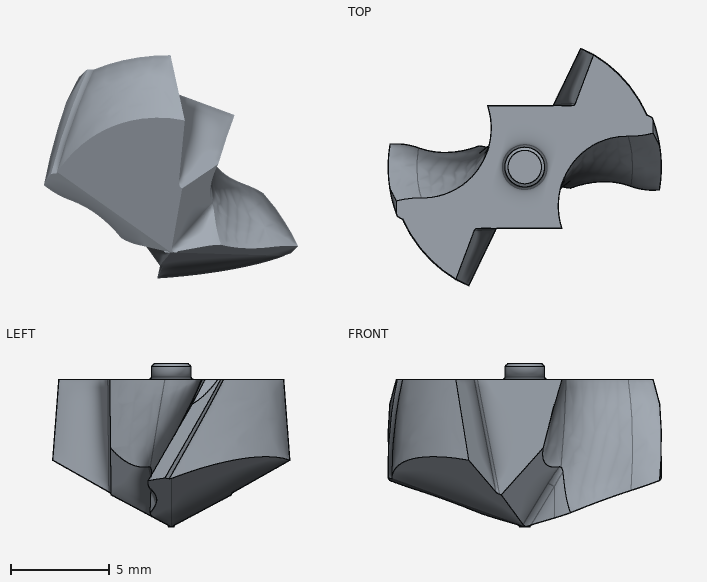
import cadquery as cq
import math


margin_radius = 6.95
body_height = 7.5
reach = 20.0

helix_angle = 30.0
twist_per_mm = math.degrees(math.tan(math.radians(helix_angle)) / margin_radius)
twist_height = 8.0

margin_lead_angle = 14.8
margin_trail_angle = 21.2
land_start_angle = 23.2
land_start_radius = 6.757
land_mid_angle = 58.3
land_mid_radius = 6.71
land_end_angle = 100.0
land_end_radius = 6.65
flute_center = (5.2, -1.9)
flute_radius = 3.47
flute_lip_angle = 89.0
flute_mid_angle = 120.0
flute_web_angle = 153.0
web_curve_radius = 3.65
web_curve_mid_angle = 180.0
web_curve_end_angle = 206.0

pocket_wall_y = 3.12
pocket_wall_slope = 0.010
heel_corner_x = 2.53
heel_slope_y = 0.375
heel_slope_z = 0.189
pocket_fillet = 0.17

margin_flat_x = 6.53
margin_flat_angle = 15.0

point_slope = math.tan(math.radians(20.0))
primary_relief = math.tan(math.radians(7.0))
secondary_relief = math.tan(math.radians(21.3))
gash_slope_x = 1.11
gash_slope_y = 0.9645

rake_angle = 29.0
rake_straight_x = 1.5
rake_curve_radius = 2.0
gash_start_x = -1.0
gash_end_x = 4.0
gash_fillet = 0.29

pin_radius = 1.01
pin_height = 0.82
pin_chamfer = 0.16
pin_base_fillet = 0.13


def polar(radius, angle, center=(0.0, 0.0)):
    a = math.radians(angle)
    return (center[0] + radius * math.cos(a), center[1] + radius * math.sin(a))


def turned(point, turn):
    """The point itself for turn = 1, or half a turn round the axis for turn = -1."""
    return (turn * point[0], turn * point[1])


def half_turn(shape):
    return shape.rotate((0, 0, 0), (0, 0, 1), 180)


def half_space(origin, normal):
    """Block filling the side of a plane that the normal points to."""
    plane = cq.Plane(origin=origin, normal=normal)
    return cq.Workplane(plane).rect(4 * reach, 4 * reach).extrude(2 * reach)


def twisted_body():
    margin_lead = polar(margin_radius, margin_lead_angle)
    margin_mid = polar(margin_radius, (margin_lead_angle + margin_trail_angle) / 2)
    margin_trail = polar(margin_radius, margin_trail_angle)
    land_start = polar(land_start_radius, land_start_angle)
    land_mid = polar(land_mid_radius, land_mid_angle)
    land_end = polar(land_end_radius, land_end_angle)
    flute_web = polar(flute_radius, flute_web_angle, flute_center)
    web_center = polar(flute_radius - web_curve_radius, flute_web_angle, flute_center)
    web_mid = polar(web_curve_radius, web_curve_mid_angle, web_center)
    web_end = polar(web_curve_radius, web_curve_end_angle, web_center)
    flute_mid = polar(flute_radius, flute_mid_angle, flute_center)
    flute_lip = polar(flute_radius, flute_lip_angle, flute_center)

    section = cq.Workplane("XY").moveTo(*margin_lead)
    for turn in (1, -1):
        section = (
            section.threePointArc(turned(margin_mid, turn), turned(margin_trail, turn))
            .lineTo(*turned(land_start, turn))
            .threePointArc(turned(land_mid, turn), turned(land_end, turn))
            .lineTo(*turned(web_end, -turn))
            .threePointArc(turned(web_mid, -turn), turned(flute_web, -turn))
            .threePointArc(turned(flute_mid, -turn), turned(flute_lip, -turn))
            .tangentArcPoint(turned(margin_lead, -turn), relative=False)
        )
    twist = twist_per_mm * twist_height
    body = section.close().twistExtrude(twist_height, twist)
    return body.rotate((0, 0, 0), (0, 0, 1), -twist).translate((0, 0, -twist_height))


def heel_pocket():
    heel_side = half_space((heel_corner_x, pocket_wall_y, 0), (-1, heel_slope_y, heel_slope_z))
    wall_side = half_space((0, pocket_wall_y, 0), (0, 1, -pocket_wall_slope))
    bounds = cq.Workplane("XY").box(2 * reach, 2 * reach, 2 * reach)
    pocket = bounds.intersect(heel_side).intersect(wall_side)
    search = reach / 2
    corner = cq.selectors.BoxSelector((-search, 0, -search), (search, search, search))
    return pocket.edges(corner).fillet(pocket_fillet)


def margin_flat():
    tilt = math.radians(margin_flat_angle)
    beyond = half_space((margin_flat_x, 0, 0), (math.cos(tilt), 0, math.sin(tilt)))
    near = cq.Workplane("XY").box(reach, margin_radius, reach)
    return beyond.intersect(near)


def below(slope_x, slope_y):
    """Space under a plane through the tip that rises by the given slopes."""
    return half_space((0, 0, -body_height), (slope_x, slope_y, -1))


def point_relief():
    """Material ground off under the -X blade, on its own side of the rake plane."""
    rake = math.radians(rake_angle)
    blade_side = half_space((0, 0, 0), (-math.sin(rake), -math.cos(rake), 0))
    tip_flat = below(0, 0)
    primary = below(-point_slope, -primary_relief)
    secondary = below(-point_slope, -secondary_relief)
    return blade_side.intersect(primary.union(secondary).union(tip_flat))


def web_gash():
    """Notch in front of the +X blade: upright rake wall, sloping floor, rounded corner."""
    rake = math.radians(rake_angle)
    straight_end = (rake_straight_x, -rake_straight_x * math.tan(rake))
    curve_end = (
        straight_end[0] + rake_curve_radius * math.sin(rake),
        straight_end[1] - rake_curve_radius * (1 - math.cos(rake)),
    )
    footprint = (
        cq.Workplane("XY", origin=(0, 0, -reach))
        .moveTo(gash_start_x, -gash_start_x * math.tan(rake))
        .lineTo(*straight_end)
        .tangentArcPoint(curve_end, relative=False)
        .lineTo(gash_end_x, curve_end[1])
        .lineTo(gash_end_x, -reach)
        .lineTo(-reach / 2, -reach)
        .close()
        .extrude(3 * reach)
    )
    notch = footprint.intersect(below(gash_slope_x, -gash_slope_y))
    root = cq.selectors.BoxSelector(
        (gash_start_x, -rake_curve_radius, -reach / 2),
        (gash_end_x - gash_fillet, reach, reach / 2),
    )
    upright = cq.selectors.ParallelDirSelector(cq.Vector(0, 0, 1))
    return notch.edges(root - upright).fillet(gash_fillet)


def locating_pin():
    base = pin_radius + pin_base_fillet
    return (
        cq.Workplane("XZ")
        .moveTo(0, -pin_radius)
        .lineTo(base, -pin_radius)
        .lineTo(base, 0)
        .radiusArc((pin_radius, pin_base_fillet), pin_base_fillet)
        .lineTo(pin_radius, pin_height - pin_chamfer)
        .lineTo(pin_radius - pin_chamfer, pin_height)
        .lineTo(0, pin_height)
        .close()
        .revolve(360, (0, 0, 0), (0, 1, 0))
    )


result = twisted_body()
for cutter in (heel_pocket(), margin_flat(), point_relief(), web_gash()):
    result = result.cut(cutter).cut(half_turn(cutter))
result = result.union(locating_pin())